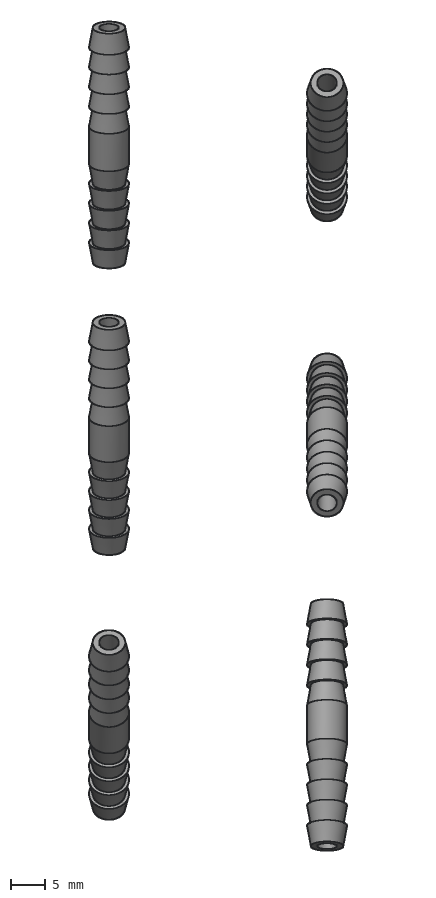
import cadquery as cq

length = 36.73
outer_diameter = 5.85
tip_diameter = 4.75
bore_diameter = 2.83
barbs_per_end = 5
barb_pitch = 3.1
collar_length = 5.88
edge_break_height = 0.1
edge_break_depth = 0.05

outer_radius = outer_diameter / 2
tip_radius = tip_diameter / 2


def end_profile():
    """Radius and height points from the top tip down to the collar."""
    points = []
    for index in range(barbs_per_end - 1):
        barb_top = length / 2 - index * barb_pitch
        points.append((tip_radius, barb_top))
        points.append((outer_radius, barb_top - barb_pitch))
    points.append((tip_radius, length / 2 - (barbs_per_end - 1) * barb_pitch))
    points.append((outer_radius - edge_break_depth, collar_length / 2 + edge_break_height))
    points.append((outer_radius, collar_length / 2))
    return points


upper_points = end_profile()
lower_points = [(radius, -height) for radius, height in reversed(upper_points)]
outline = [(0, length / 2)] + upper_points + lower_points + [(0, -length / 2)]
body = cq.Workplane("XZ").polyline(outline).close().revolve(360, (0, 0, 0), (0, 1, 0))

bore = cq.Workplane("XY").circle(bore_diameter / 2).extrude(length / 2, both=True)
result = body.cut(bore)